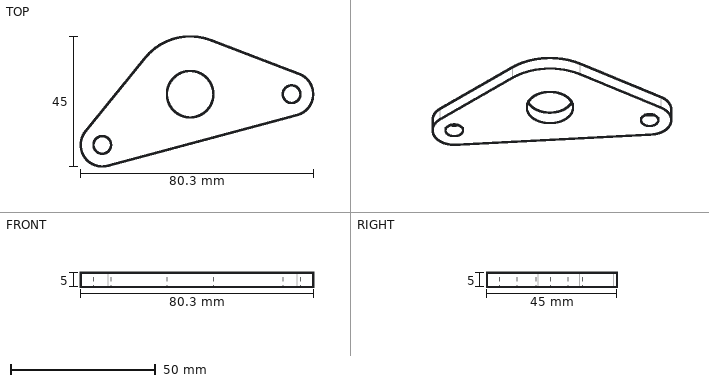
import cadquery as cq
import math

length = 80.3
thickness = 5.0
hub_radius = 20.0
bore_diameter = 16.0
bolt_diameter = 6.0
bolt_reach = 35.0
left_arm_angle = 210.0

hub = (0.0, 0.0)
right_bolt = (bolt_reach, 0.0)
left_bolt = (
    bolt_reach * math.cos(math.radians(left_arm_angle)),
    bolt_reach * math.sin(math.radians(left_arm_angle)),
)

end_radius = (length - (right_bolt[0] - left_bolt[0])) / 2

corners = [(left_bolt, end_radius), (hub, hub_radius), (right_bolt, end_radius)]


def point_on_circle(center, radius, angle):
    return (center[0] + radius * math.cos(angle), center[1] + radius * math.sin(angle))


def tangent_normal(start, finish):
    """Angle of the outward normal of the outer tangent line between two corner circles."""
    (start_center, start_radius), (finish_center, finish_radius) = start, finish
    dx = finish_center[0] - start_center[0]
    dy = finish_center[1] - start_center[1]
    spread = math.acos((start_radius - finish_radius) / math.hypot(dx, dy))
    return math.atan2(dy, dx) + spread


def make_plate():
    """Plate bounded by the corner arcs and their common tangent lines."""
    count = len(corners)
    normals = [tangent_normal(corners[i], corners[(i + 1) % count]) for i in range(count)]
    outline = cq.Workplane("XY").moveTo(*point_on_circle(*corners[0], normals[-1]))
    for i, (center, radius) in enumerate(corners):
        arrive = normals[i - 1]
        sweep = (arrive - normals[i]) % (2 * math.pi)
        middle = point_on_circle(center, radius, arrive - sweep / 2)
        leave = point_on_circle(center, radius, normals[i])
        outline = outline.threePointArc(middle, leave)
        if i < count - 1:
            outline = outline.lineTo(*point_on_circle(*corners[i + 1], normals[i]))
    return outline.close().extrude(thickness)


def drill(body, centers, diameter):
    """Cut round through holes at the given centres."""
    cutter = cq.Workplane("XY").pushPoints(centers).circle(diameter / 2).extrude(thickness)
    return body.cut(cutter)


plate = make_plate()
plate = drill(plate, [hub], bore_diameter)
result = drill(plate, [left_bolt, right_bolt], bolt_diameter)